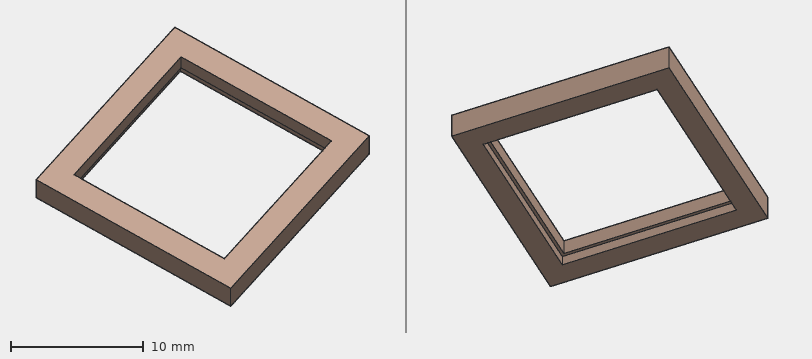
import cadquery as cq

outer_side = 18.0
height = 2.2
opening_side = 13.9

step_width = 0.25
lip_height = 1.33
recess_depth = height - lip_height
recess_side = opening_side + 2 * step_width

frame = (
    cq.Workplane("XY")
    .rect(outer_side, outer_side)
    .rect(opening_side, opening_side)
    .extrude(height)
)

underside_recess = (
    cq.Workplane("XY")
    .rect(recess_side, recess_side)
    .extrude(recess_depth)
)

result = frame.cut(underside_recess)